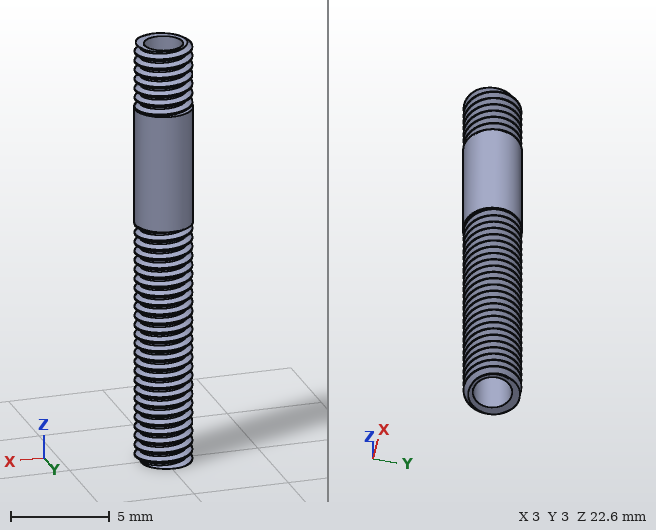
import cadquery as cq
import math

total_length = 22.6
lower_thread_length = 12.9
collar_length = 6.25
upper_thread_length = total_length - lower_thread_length - collar_length
collar_diameter = 3.0
bore_diameter = 2.0

crest_diameter = 2.94
root_diameter = 2.35
pitch = collar_diameter / 6
crest_width = pitch / 8
flank_angle = math.radians(30)

lower_crest_height = 0.32
upper_crest_height = total_length - 0.4

ridge_embedding = 0.05


def cylinder(diameter, length, base_height):
    return cq.Workplane("XY").workplane(offset=base_height).circle(diameter / 2).extrude(length)


def threaded_end(base_height, length, crest_height):
    """Core cylinder with a helical ridge that is cut off flat at both of its ends."""
    crest_radius = crest_diameter / 2
    inner_radius = root_diameter / 2 - ridge_embedding
    crest_half_width = crest_width / 2
    inner_half_width = crest_half_width + (crest_radius - inner_radius) * math.tan(flank_angle)

    pitches_to_start = math.floor((base_height - crest_height) / pitch) - 1
    start_height = crest_height + pitches_to_start * pitch
    turns = math.ceil(length / pitch) + 3

    helix = cq.Wire.makeHelix(pitch, turns * pitch, inner_radius)
    ridge = (
        cq.Workplane("XZ")
        .polyline([
            (inner_radius, -inner_half_width),
            (crest_radius, -crest_half_width),
            (crest_radius, crest_half_width),
            (inner_radius, inner_half_width),
        ])
        .close()
        .sweep(cq.Workplane(helix), isFrenet=True)
        .translate((0, 0, start_height))
    )
    trimming_block = cylinder(2 * crest_diameter, length, base_height)
    core = cylinder(root_diameter, length, base_height)
    return core.union(ridge.intersect(trimming_block))


collar_base = lower_thread_length
collar_top = collar_base + collar_length

lower_end = threaded_end(0, lower_thread_length, lower_crest_height)
collar = cylinder(collar_diameter, collar_length, collar_base)
upper_end = threaded_end(collar_top, upper_thread_length, upper_crest_height)
bore = cylinder(bore_diameter, total_length, 0)

result = collar.union(lower_end).union(upper_end).cut(bore)